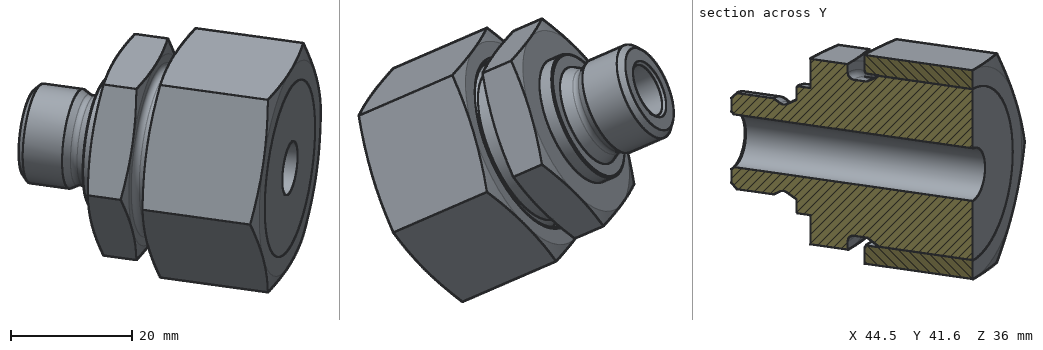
import cadquery as cq
import math

TOTAL_LENGTH = 44.5
THREAD_END = 7.8
GROOVE_BOTTOM = 9.6
COLLAR_FACE = 12.0
BODY_HEX_FACE = 14.5
BODY_HEX_LENGTH = 7.0
NUT_LENGTH = 20.0

BORE_RADIUS = 4.5
BORE_CHAMFER = 0.5
STUD_RADIUS = 8.3
STUD_CHAMFER = 1.02
GROOVE_RADIUS = 7.48
GROOVE_FILLET = 1.15
THREAD_FLANK_ANGLE = math.radians(30)
COLLAR_FLANK_ANGLE = math.radians(28)
COLLAR_RADIUS = 11.0
COLLAR_BEVEL_LENGTH = 0.2
COLLAR_BEVEL_HEIGHT = 0.25
SLEEVE_RADIUS = 13.5
SLEEVE_FILLET = 1.05
SLEEVE_END = 25.0
THREAD_RADIUS = 14.77
THREAD_CHAMFER_ANGLE = math.radians(30)

BODY_HEX_FLATS = 32.0
NUT_FLATS = 36.0
HEX_CHAMFER_ANGLE = math.radians(15)
NUT_MOUTH_RADIUS = 15.2
NUT_COUNTERSINK_ANGLE = math.radians(30)

BODY_HEX_END = BODY_HEX_FACE + BODY_HEX_LENGTH
NUT_FACE = TOTAL_LENGTH - NUT_LENGTH


def revolve_about_x(profile):
    """Turn a closed profile in the XY plane (Y is the radius) about the X axis."""
    return profile.close().revolve(360, (0, 0, 0), (1, 0, 0))


def chamfered_hexagon(start, length, flats):
    """Hexagonal prism along X whose corners are turned down to the inscribed circle at both ends."""
    end = start + length
    flat_radius = flats / 2
    corner_radius = flats / math.sqrt(3)
    chamfer_length = (corner_radius - flat_radius) * math.tan(HEX_CHAMFER_ANGLE)
    prism = (
        cq.Workplane("YZ", origin=(start, 0, 0))
        .polygon(6, 2 * corner_radius)
        .extrude(length)
    )
    turned_blank = revolve_about_x(
        cq.Workplane("XY")
        .moveTo(start, 0)
        .lineTo(start, flat_radius)
        .lineTo(start + chamfer_length, corner_radius)
        .lineTo(end - chamfer_length, corner_radius)
        .lineTo(end, flat_radius)
        .lineTo(end, 0)
    )
    return prism.intersect(turned_blank)


def groove_arc_point(slope_angle):
    """Point (x, radius) on the rounded groove bottom where its slope has the given angle."""
    x = GROOVE_BOTTOM + GROOVE_FILLET * math.sin(slope_angle)
    radius = GROOVE_RADIUS + GROOVE_FILLET * (1 - math.cos(slope_angle))
    return x, radius


def make_stud():
    """Chamfered stud, V-shaped undercut with a rounded bottom, and the sealing collar."""
    flank_start, flank_start_radius = groove_arc_point(COLLAR_FLANK_ANGLE)
    flank_rise = (COLLAR_FACE - flank_start) * math.tan(COLLAR_FLANK_ANGLE)
    return revolve_about_x(
        cq.Workplane("XY")
        .lineTo(0, STUD_RADIUS - STUD_CHAMFER)
        .lineTo(STUD_CHAMFER, STUD_RADIUS)
        .lineTo(THREAD_END, STUD_RADIUS)
        .lineTo(*groove_arc_point(-THREAD_FLANK_ANGLE))
        .threePointArc(groove_arc_point(-THREAD_FLANK_ANGLE / 2), groove_arc_point(0))
        .threePointArc(groove_arc_point(COLLAR_FLANK_ANGLE / 2), groove_arc_point(COLLAR_FLANK_ANGLE))
        .lineTo(COLLAR_FACE, flank_start_radius + flank_rise)
        .lineTo(COLLAR_FACE, COLLAR_RADIUS - COLLAR_BEVEL_HEIGHT)
        .lineTo(COLLAR_FACE + COLLAR_BEVEL_LENGTH, COLLAR_RADIUS)
        .lineTo(BODY_HEX_FACE, COLLAR_RADIUS)
        .lineTo(BODY_HEX_FACE, 0)
    )


def make_sleeve():
    """Round sleeve filleted to the hexagon, widening over a chamfer to the part inside the nut."""
    thread_chamfer_length = (THREAD_RADIUS - SLEEVE_RADIUS) / math.tan(THREAD_CHAMFER_ANGLE)
    fillet_middle = SLEEVE_FILLET * (1 - math.sqrt(0.5))
    return revolve_about_x(
        cq.Workplane("XY")
        .moveTo(BODY_HEX_END, 0)
        .lineTo(BODY_HEX_END, SLEEVE_RADIUS + SLEEVE_FILLET)
        .threePointArc(
            (BODY_HEX_END + fillet_middle, SLEEVE_RADIUS + fillet_middle),
            (BODY_HEX_END + SLEEVE_FILLET, SLEEVE_RADIUS),
        )
        .lineTo(SLEEVE_END, SLEEVE_RADIUS)
        .lineTo(SLEEVE_END + thread_chamfer_length, THREAD_RADIUS)
        .lineTo(TOTAL_LENGTH, THREAD_RADIUS)
        .lineTo(TOTAL_LENGTH, 0)
    )


def make_bore():
    """Through bore with a countersunk mouth at the stud end."""
    return revolve_about_x(
        cq.Workplane("XY")
        .lineTo(0, BORE_RADIUS + BORE_CHAMFER)
        .lineTo(BORE_CHAMFER, BORE_RADIUS)
        .lineTo(TOTAL_LENGTH, BORE_RADIUS)
        .lineTo(TOTAL_LENGTH, 0)
    )


def make_fitting_body():
    """Stud, hexagon and sleeve in one piece, bored through."""
    hexagon = chamfered_hexagon(BODY_HEX_FACE, BODY_HEX_LENGTH, BODY_HEX_FLATS)
    return make_stud().union(hexagon).union(make_sleeve()).cut(make_bore())


def make_nut():
    """Hexagonal nut with a through hole that is countersunk on the side of the body hexagon."""
    countersink_depth = (NUT_MOUTH_RADIUS - THREAD_RADIUS) * math.tan(NUT_COUNTERSINK_ANGLE)
    hole = revolve_about_x(
        cq.Workplane("XY")
        .moveTo(NUT_FACE, 0)
        .lineTo(NUT_FACE, NUT_MOUTH_RADIUS)
        .lineTo(NUT_FACE + countersink_depth, THREAD_RADIUS)
        .lineTo(TOTAL_LENGTH, THREAD_RADIUS)
        .lineTo(TOTAL_LENGTH, 0)
    )
    return chamfered_hexagon(NUT_FACE, NUT_LENGTH, NUT_FLATS).cut(hole)


fitting_body = make_fitting_body()
nut = make_nut()

result = cq.Compound.makeCompound([fitting_body.val(), nut.val()])